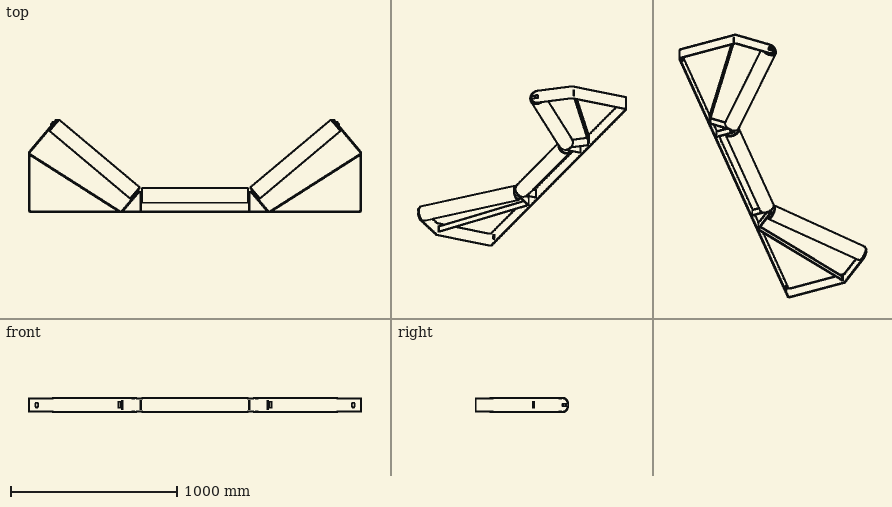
import cadquery as cq
import math

strip_width = 80.0
strip_thickness = 5.0

overall_length = 2000.0
frame_bend_radius = 15.0
tip_above_axle = 35.0

trough_angle = 40.0
roller_diameter = 90.0
roller_length = 640.0
roller_chamfer = 5.0
centre_roller_y = 102.0
side_roller_x = 605.0
side_roller_y = 320.0

axle_diameter = 20.0
axle_flat_width = 15.0
axle_outer_protrusion = 5.0

centre_gap = 5.0
side_inner_gap = 5.0
side_outer_gap = 5.0

bracket_width = 50.0
bracket_bend_radius = 12.0

bolt_slot_x = 952.0
bolt_slot_width = 15.0
bolt_slot_height = 28.0

strut_width = 35.0
strut_thickness = 5.0
strut_leg_y = 352.0
strut_base_x = 450.0

half_length = overall_length / 2
half_roller = roller_length / 2
leg_inner_x = half_length - strip_thickness
angle = math.radians(trough_angle)
side_centre = cq.Vector(side_roller_x, side_roller_y)
side_axis = cq.Vector(math.cos(angle), math.sin(angle))
side_across = cq.Vector(-math.sin(angle), math.cos(angle))
up_z = cq.Vector(0, 0, 1)


def side_point(along, across):
    """Point measured from the centre of the +X side roller, along and across its axis."""
    return side_centre + side_axis * along + side_across * across


def cross_line_at_x(along, x):
    """Point at the given X on the line that crosses the side roller's axis squarely at `along`."""
    return side_point(along, (x - side_point(along, 0).x) / side_across.x)


def cross_line_at_y(along, y):
    """Point at the given Y on the line that crosses the side roller's axis squarely at `along`."""
    return side_point(along, (y - side_point(along, 0).y) / side_across.y)


def extrude_outline(points, width):
    """Bar with a closed outline in XY, its width centred on Z = 0."""
    outline = cq.Workplane("XY").polyline([(point.x, point.y) for point in points]).close()
    return outline.extrude(width / 2, both=True)


def round_bend(bar, outer_corner, inner_corner, outer_radius):
    """Round both faces of a bend so that the strip keeps its thickness around it."""
    inner_radius = outer_radius - strip_thickness
    for corner, radius in ((outer_corner, outer_radius), (inner_corner, inner_radius)):
        nearest = cq.selectors.NearestToPointSelector(corner.toTuple())
        bar = bar.edges("|Z").edges(nearest).fillet(radius)
    return bar


def mirrored(body):
    """The same body on the -X side."""
    return body.mirror("YZ")


def make_axle(centre, direction, start, end):
    """Axle with two flats, from `start` to `end` along `direction` from the roller centre."""
    plane = cq.Plane(origin=centre + direction * start, xDir=up_z, normal=direction)
    shaft = cq.Workplane(plane).circle(axle_diameter / 2).extrude(end - start)
    flats = cq.Workplane(plane).rect(axle_flat_width, axle_diameter).extrude(end - start)
    return shaft.intersect(flats)


def make_roller(centre, direction, start_overhang, end_overhang):
    """Chamfered drum in one piece with its axle."""
    plane = cq.Plane(origin=centre - direction * half_roller, xDir=up_z, normal=direction)
    drum = cq.Workplane(plane).circle(roller_diameter / 2).extrude(roller_length)
    drum = drum.edges("%CIRCLE").chamfer(roller_chamfer)
    axle = make_axle(centre, direction, -half_roller - start_overhang, half_roller + end_overhang)
    return drum.union(axle)


def make_axle_slot():
    """Cutter for the slot in a leg end: fits the axle and is open toward the tip."""
    start = half_roller
    length = side_outer_gap + 2 * strip_thickness
    seat = make_axle(side_centre, side_axis, start, start + length)
    plane = cq.Plane(origin=side_point(start, tip_above_axle / 2), xDir=up_z, normal=side_axis)
    mouth = cq.Workplane(plane).rect(axle_flat_width, tip_above_axle).extrude(length)
    return seat.union(mouth)


def make_bolt_slot():
    """Cutter for an upright slot through the base."""
    slot = cq.Workplane("XZ").center(bolt_slot_x, 0).slot2D(bolt_slot_height, bolt_slot_width, 90)
    return slot.extrude(-strip_thickness)


def make_half_frame():
    """The +X half of the frame, from the middle of the base to the rounded leg end."""
    near = half_roller + side_outer_gap
    far = near + strip_thickness
    tip_radius = strip_width / 2
    tip_centre = tip_above_axle - tip_radius
    low_outer = cq.Vector(half_length, 0)
    low_inner = cq.Vector(leg_inner_x, strip_thickness)
    high_outer = cross_line_at_x(far, half_length)
    high_inner = cross_line_at_x(near, leg_inner_x)
    half = extrude_outline([
        cq.Vector(0, 0),
        low_outer,
        high_outer,
        side_point(far, tip_centre),
        side_point(near, tip_centre),
        high_inner,
        low_inner,
        cq.Vector(0, strip_thickness),
    ], strip_width)
    half = round_bend(half, low_outer, low_inner, frame_bend_radius)
    half = round_bend(half, high_outer, high_inner, frame_bend_radius)
    tip_plane = cq.Plane(origin=side_point(near, tip_centre), xDir=up_z, normal=side_axis)
    round_tip = cq.Workplane(tip_plane).circle(tip_radius).extrude(strip_thickness)
    return half.union(round_tip).cut(make_axle_slot()).cut(make_bolt_slot())


def make_bracket():
    """Strip folded over: an upright for the centre roller and a sloping arm for the side roller."""
    near_x = half_roller + centre_gap
    far_x = near_x + strip_thickness
    near = -half_roller - side_inner_gap
    far = near - strip_thickness
    fold_outer = cross_line_at_x(near, near_x)
    fold_inner = cross_line_at_x(far, far_x)
    bracket = extrude_outline([
        cq.Vector(near_x, strip_thickness),
        fold_outer,
        cross_line_at_y(near, strip_thickness),
        cross_line_at_y(far, strip_thickness),
        fold_inner,
        cq.Vector(far_x, strip_thickness),
    ], bracket_width)
    return round_bend(bracket, fold_outer, fold_inner, bracket_bend_radius)


def make_strut():
    """Sloping bar cut to lie flat against the base and the leg."""
    foot = cq.Vector(strut_base_x, strip_thickness)
    head = cq.Vector(leg_inner_x, strut_leg_y)
    run = head - foot
    foot_length = strut_thickness * run.Length / run.y
    head_length = strut_thickness * run.Length / run.x
    return extrude_outline([
        foot,
        foot + cq.Vector(foot_length, 0),
        head - cq.Vector(0, head_length),
        head,
    ], strut_width)


centre_overhang = centre_gap + strip_thickness
inner_overhang = side_inner_gap + strip_thickness
outer_overhang = side_outer_gap + strip_thickness + axle_outer_protrusion

centre_roller = make_roller(
    cq.Vector(0, centre_roller_y), cq.Vector(1, 0), centre_overhang, centre_overhang
)
side_roller = make_roller(side_centre, side_axis, inner_overhang, outer_overhang)

half_frame = make_half_frame()
frame = half_frame.union(mirrored(half_frame))

bracket = make_bracket().cut(centre_roller).cut(side_roller)
strut = make_strut()

solids = [frame.val(), centre_roller.val()]
for body in (side_roller, bracket, strut):
    solids += [body.val(), mirrored(body).val()]

result = cq.Compound.makeCompound(solids)